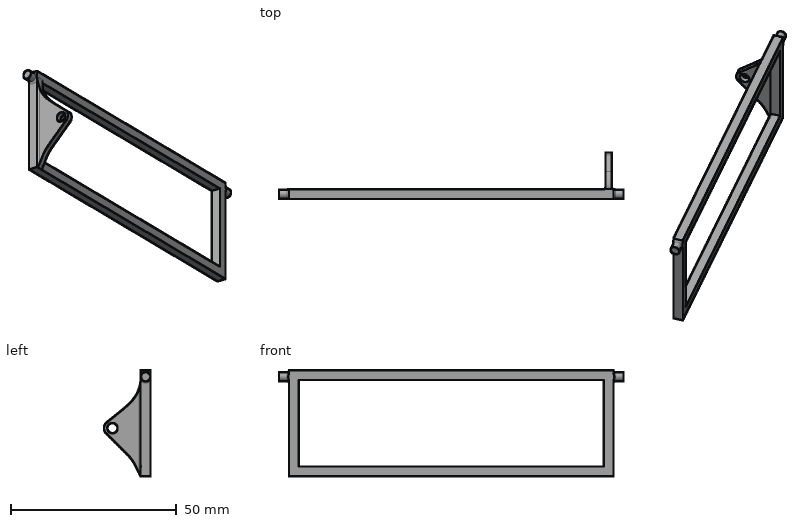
import cadquery as cq
import math

overall_length = 104.0
pin_length = 3.0
frame_length = overall_length - 2 * pin_length
frame_height = 32.0
frame_thickness = 3.0
bar_width = 3.0

pin_diameter = 2.8
pin_drop = 2.0
root_fillet = 0.5
pin_z = frame_height - pin_drop

overall_depth = 14.1
ear_thickness = 2.0
ear_tip_radius = 2.2
ear_hole_diameter = 3.0
ear_tip_y = overall_depth - ear_tip_radius
ear_hole_y = 11.5
ear_hole_z = 14.6
ear_x = frame_length / 2 - bar_width / 2
ear_top_z = 30.2
upper_edge_angle = 39.0
upper_curve_y = 8.3
lower_edge_angle = 45.0
lower_curve_y = 6.8
lower_foot_angle = 63.0
ear_foot_y = frame_thickness - root_fillet


def make_frame():
    outer = cq.Workplane("XY").box(frame_length, frame_thickness, frame_height, centered=(True, False, False))
    window = (
        cq.Workplane("XY")
        .box(
            frame_length - 2 * bar_width,
            frame_thickness,
            frame_height - 2 * bar_width,
            centered=(True, False, False),
        )
        .translate((0, 0, bar_width))
    )
    return outer.cut(window)


def make_pin(side):
    """Pin with a concave root fillet, trimmed to the thickness of the frame."""
    pin_radius = pin_diameter / 2
    face_x = side * frame_length / 2
    root_x = face_x + side * root_fillet
    arc_offset = root_fillet * (1 - math.sqrt(0.5))
    profile = (
        cq.Workplane("XY")
        .moveTo(face_x, 0)
        .lineTo(face_x, pin_radius + root_fillet)
        .threePointArc(
            (face_x + side * arc_offset, pin_radius + arc_offset),
            (root_x, pin_radius),
        )
        .lineTo(side * overall_length / 2, pin_radius)
        .lineTo(side * overall_length / 2, 0)
        .close()
    )
    pin = profile.revolve(360, (0, 0, 0), (1, 0, 0)).translate((0, frame_thickness / 2, pin_z))
    trim = cq.Workplane("XY").box(
        overall_length, frame_thickness, 2 * frame_height, centered=(True, False, False)
    )
    return pin.intersect(trim)


def direction(angle):
    """Unit (Y, Z) vector at an angle from +Y towards +Z."""
    turn = math.radians(angle)
    return (math.cos(turn), math.sin(turn))


def tip_point(angle):
    """Point of the rounded ear tip at an angle from +Y towards +Z."""
    dy, dz = direction(angle)
    return (ear_tip_y + ear_tip_radius * dy, ear_hole_z + ear_tip_radius * dz)


def edge_end(start, y, angle):
    """End of a straight ear edge running from the tip to depth y."""
    return (y, start[1] + (start[0] - y) * math.tan(math.radians(angle)))


def ear_outline():
    upper_tip = tip_point(90 - upper_edge_angle)
    lower_tip = tip_point(lower_edge_angle - 90)
    upper_curve = edge_end(upper_tip, upper_curve_y, upper_edge_angle)
    lower_curve = edge_end(lower_tip, lower_curve_y, -lower_edge_angle)
    return (
        cq.Workplane("YZ")
        .moveTo(ear_foot_y, 0)
        .lineTo(frame_thickness, 0)
        .spline(
            [lower_curve],
            tangents=[direction(lower_foot_angle), direction(lower_edge_angle)],
            includeCurrent=True,
        )
        .lineTo(*lower_tip)
        .threePointArc(tip_point(0), upper_tip)
        .lineTo(*upper_curve)
        .spline(
            [(frame_thickness, ear_top_z)],
            tangents=[direction(180 - upper_edge_angle), direction(90)],
            includeCurrent=True,
        )
        .lineTo(ear_foot_y, ear_top_z)
        .close()
    )


def make_ear():
    """Ear plate plus the concave fillets that join its two faces to the upright."""
    half = ear_thickness / 2
    plate = ear_outline().extrude(ear_thickness).translate((-half, 0, 0))
    arc_offset = root_fillet * (1 - math.sqrt(0.5))
    foot_half = half + root_fillet
    fillets = (
        cq.Workplane("XY")
        .moveTo(-foot_half, frame_thickness)
        .threePointArc((-half - arc_offset, frame_thickness + arc_offset), (-half, frame_thickness + root_fillet))
        .lineTo(half, frame_thickness + root_fillet)
        .threePointArc((half + arc_offset, frame_thickness + arc_offset), (foot_half, frame_thickness))
        .close()
        .extrude(ear_top_z)
    )
    envelope = ear_outline().extrude(2 * foot_half).translate((-foot_half, 0, 0))
    ear = plate.union(fillets.intersect(envelope))
    hole = (
        cq.Workplane("YZ")
        .center(ear_hole_y, ear_hole_z)
        .circle(ear_hole_diameter / 2)
        .extrude(ear_thickness, both=True)
    )
    return ear.cut(hole).translate((ear_x, 0, 0))


result = make_frame().union(make_pin(-1)).union(make_pin(1)).union(make_ear())